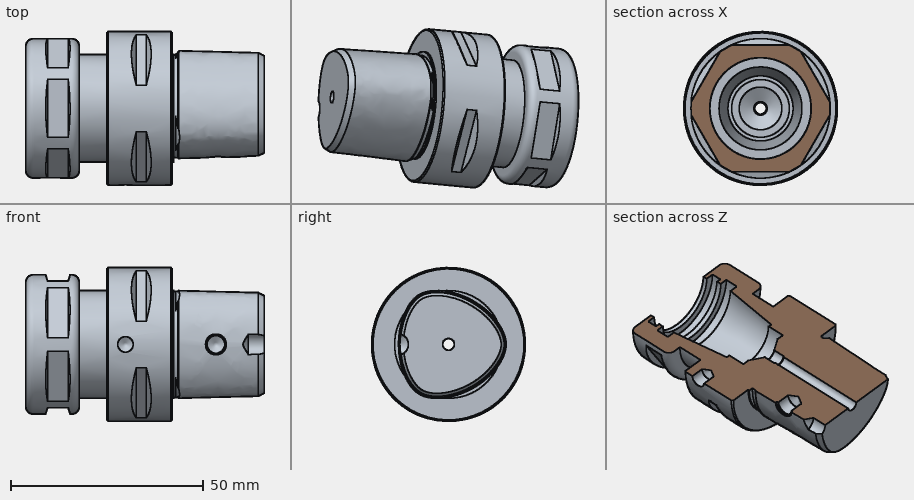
import cadquery as cq
import math

total_length = 62.0

nut_diameter = 36.3
nut_length = 13.95
nut_edge_radius = 2.0
nut_flat_count = 6
nut_flat_height = 16.5
nut_flat_start = 5.7
nut_flat_end = 11.05
nut_flat_wall_angle = 17.0

neck_diameter = 28.0

flange_diameter = 40.0
flange_start = 21.1
flange_end = 38.05
flange_chamfer = 0.4
flange_groove_count = 4
flange_groove_height = 17.75
flange_groove_start = 28.75
flange_groove_end = 31.3
flange_groove_wall_angle = 30.0
flange_hole_diameter = 4.0
flange_hole_x = 25.9
flange_hole_depth = 3.7

shank_start = 39.8
shank_mean_radius = neck_diameter / 2
lobe_height = 1.0
shank_taper = 1 / 40
outline_points = 36
end_chamfer_length = 1.6
end_chamfer_height = 0.8

collar_length = 0.45
relief_mean_radius = 13.8
relief_floor_diameter = 27.9
relief_chamfer_length = 0.85
shank_step_length = 0.25

shank_hole_diameter = 4.6
shank_hole_rim_diameter = 5.4
shank_hole_x = 49.4
shank_hole_depth = 4.35
notch_radius = 2.7
notch_axis_height = 13.15
notch_straight_start = 57.85
notch_tip_length = 1.75

mouth_diameter = 20.0
mouth_length = 1.25
ring_groove_diameter = 24.5
ring_groove_end = 3.85
inner_lip_diameter = 22.1
thread_start = 5.3
thread_diameter = 26.3

seat_start = 8.85
seat_diameter = 21.6
seat_end_diameter = 16.9
seat_half_angle = 8.0
clearance_diameter = 15.0
clearance_length = 4.95
funnel_diameter = 11.1
funnel_end_diameter = 3.5
funnel_hole_length = 3.5
through_diameter = 3.0

drill_half_angle = 59.0

cutter_overshoot = 1.25


def cone_length(large_diameter, small_diameter, half_angle):
    return (large_diameter - small_diameter) / 2 / math.tan(math.radians(half_angle))


def cylinder(start, end, diameter):
    return cq.Workplane("YZ", origin=(start, 0, 0)).circle(diameter / 2).extrude(end - start)


def revolved(points):
    """Turn an (x, radius) outline about the X axis."""
    return cq.Workplane("XY").polyline(points).close().revolve(360, (0, 0, 0), (1, 0, 0))


def lobed_outline(mean_radius, offset):
    """Constant-width curve whose distance to its tangent is mean_radius + lobe_height * cos(3 * angle)."""

    def point(angle):
        reach = mean_radius + lobe_height * math.cos(3 * angle)
        slide = -3 * lobe_height * math.sin(3 * angle)
        y = reach * math.cos(angle) - slide * math.sin(angle)
        z = reach * math.sin(angle) + slide * math.cos(angle)
        return cq.Vector(offset, y, z)

    angles = [math.pi + 2 * math.pi * i / outline_points for i in range(outline_points)]
    curve = cq.Edge.makeSpline([point(angle) for angle in angles], periodic=True)
    return cq.Wire.assembleEdges([curve])


def lobed_section(start, start_radius, end, end_radius):
    wires = [lobed_outline(start_radius, start), lobed_outline(end_radius, end)]
    return cq.Workplane(cq.Solid.makeLoft(wires, True))


def tangent_groove(start, end, height, wall_angle, rim_diameter, turn):
    """Cutter for a flat-bottomed groove at the given height, its end walls leaning outward."""
    rise = rim_diameter / 2 - height + cutter_overshoot
    lean = rise * math.tan(math.radians(wall_angle))
    section = [
        (start, height),
        (end, height),
        (end + lean, height + rise),
        (start - lean, height + rise),
    ]
    cutter = cq.Workplane("XZ").polyline(section).close().extrude(rim_diameter / 2, both=True)
    return cutter.rotate((0, 0, 0), (1, 0, 0), turn)


def side_hole(x, surface_height, diameter, depth):
    """Cutter for a drilled hole entering along +Y, with a drill-point bottom."""
    radius = diameter / 2
    point_length = cone_length(diameter, 0, drill_half_angle)
    outside = surface_height + cutter_overshoot
    floor = surface_height - depth
    section = [(x, -outside), (x + radius, -outside), (x + radius, -floor), (x, point_length - floor)]
    return cq.Workplane("XY").polyline(section).close().revolve(360, (x, 0, 0), (x, 1, 0))


def make_nut():
    nut = cylinder(0, nut_length, nut_diameter).edges().fillet(nut_edge_radius)
    for i in range(nut_flat_count):
        turn = i * 360 / nut_flat_count
        nut = nut.cut(
            tangent_groove(
                nut_flat_start, nut_flat_end, nut_flat_height, nut_flat_wall_angle, nut_diameter, turn
            )
        )
    return nut


def make_flange():
    flange = cylinder(flange_start, flange_end, flange_diameter).edges().chamfer(flange_chamfer)
    pitch = 360 / flange_groove_count
    for i in range(flange_groove_count):
        flange = flange.cut(
            tangent_groove(
                flange_groove_start,
                flange_groove_end,
                flange_groove_height,
                flange_groove_wall_angle,
                flange_diameter,
                (i + 0.5) * pitch,
            )
        )
    return flange.cut(
        side_hole(flange_hole_x, flange_diameter / 2, flange_hole_diameter, flange_hole_depth)
    )


def make_shank():
    chamfer_start = total_length - end_chamfer_length
    small_radius = shank_mean_radius - shank_taper * (chamfer_start - shank_start)
    shank = lobed_section(shank_start, shank_mean_radius, chamfer_start, small_radius)
    tip = lobed_section(chamfer_start, small_radius, total_length, small_radius - end_chamfer_height)
    relief_end = shank_start - shank_step_length
    relief = lobed_section(flange_end, relief_mean_radius, relief_end, relief_mean_radius)
    step = lobed_section(relief_end, relief_mean_radius, shank_start, shank_mean_radius)
    shank = shank.union(tip).union(step).union(relief)

    floor_radius = relief_floor_diameter / 2
    rim_radius = floor_radius + 2 * relief_chamfer_length
    relief_cutter = revolved(
        [
            (flange_end, floor_radius),
            (shank_start - relief_chamfer_length, floor_radius),
            (shank_start + relief_chamfer_length, rim_radius),
            (flange_end, rim_radius),
        ]
    )
    collar = cylinder(flange_end, flange_end + collar_length, neck_diameter)
    shank = shank.cut(relief_cutter).union(collar)

    face_height = shank_mean_radius - lobe_height - shank_taper * (shank_hole_x - shank_start)
    shank = shank.cut(side_hole(shank_hole_x, face_height, shank_hole_diameter, shank_hole_depth))
    rim_depth = (shank_hole_rim_diameter - shank_hole_diameter) / 2
    shank = shank.cut(side_hole(shank_hole_x, face_height, shank_hole_rim_diameter, rim_depth))
    notch = revolved(
        [
            (notch_straight_start - notch_tip_length, 0),
            (notch_straight_start, notch_radius),
            (total_length, notch_radius),
            (total_length, 0),
        ]
    ).translate((0, -notch_axis_height, 0))
    return shank.cut(notch)


def make_bore():
    seat_end = seat_start + cone_length(seat_diameter, seat_end_diameter, seat_half_angle)
    funnel_start = seat_end + clearance_length
    funnel_end = funnel_start + cone_length(funnel_diameter, funnel_end_diameter, drill_half_angle)
    hole_step = funnel_end + funnel_hole_length
    return revolved(
        [
            (0, 0),
            (0, mouth_diameter / 2),
            (mouth_length, mouth_diameter / 2),
            (mouth_length, ring_groove_diameter / 2),
            (ring_groove_end, ring_groove_diameter / 2),
            (ring_groove_end, inner_lip_diameter / 2),
            (thread_start, inner_lip_diameter / 2),
            (thread_start, thread_diameter / 2),
            (seat_start, thread_diameter / 2),
            (seat_start, seat_diameter / 2),
            (seat_end, seat_end_diameter / 2),
            (seat_end, clearance_diameter / 2),
            (funnel_start, clearance_diameter / 2),
            (funnel_start, funnel_diameter / 2),
            (funnel_end, funnel_end_diameter / 2),
            (hole_step, funnel_end_diameter / 2),
            (hole_step, through_diameter / 2),
            (total_length, through_diameter / 2),
            (total_length, 0),
        ]
    )


neck = cylinder(nut_length / 2, flange_end, neck_diameter)
result = neck.union(make_nut()).union(make_flange()).union(make_shank()).cut(make_bore())